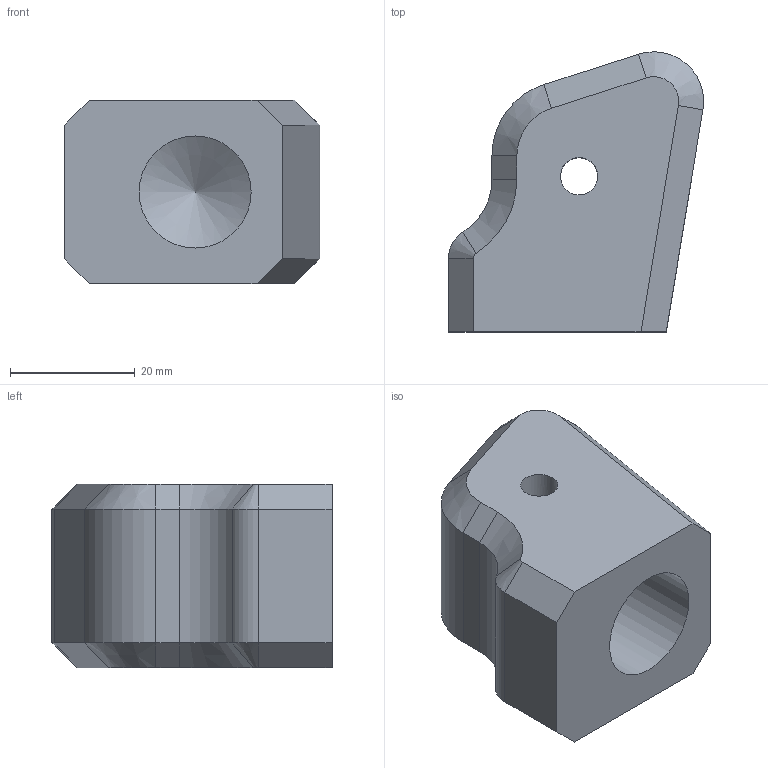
import cadquery as cq
import math

thickness = 29.5
chamfer_size = 4.0

foot_left_x = -21.0
foot_right_x = 14.0
shoulder_left_x = -14.0

foot_radius = 5.0
waist_radius = 10.0
shoulder_radius = 12.0
nose_radius = 8.0
waist_center = (shoulder_left_x - waist_radius, 24.5)
shoulder_center = (shoulder_left_x + shoulder_radius, 28.3)
nose_center = (12.0, 37.0)

bore_diameter = 18.0
bore_depth = 30.0
bore_tip_angle = 118.0
pin_hole_diameter = 6.0
pin_hole_y = 25.0


def point_on_circle(center, radius, angle):
    return (center[0] + radius * math.cos(angle), center[1] + radius * math.sin(angle))


def angle_between(start, end):
    return math.atan2(end[1] - start[1], end[0] - start[0])


def add_arc(profile, center, radius, start_angle, end_angle):
    middle = point_on_circle(center, radius, (start_angle + end_angle) / 2)
    end = point_on_circle(center, radius, end_angle)
    return profile.threePointArc(middle, end)


def make_body():
    foot_center_x = foot_left_x + foot_radius
    centers_dx = foot_center_x - waist_center[0]
    centers_dy = math.sqrt((foot_radius + waist_radius) ** 2 - centers_dx**2)
    foot_center = (foot_center_x, waist_center[1] - centers_dy)
    waist_end_angle = angle_between(waist_center, foot_center)
    foot_end_angle = waist_end_angle + math.pi

    centers_distance = math.dist(shoulder_center, nose_center)
    back_slope = angle_between(shoulder_center, nose_center) - math.asin(
        (shoulder_radius - nose_radius) / centers_distance
    )
    back_normal = back_slope + math.pi / 2

    front_right = (foot_right_x, 0)
    side_slope = angle_between(front_right, nose_center) - math.asin(
        nose_radius / math.dist(front_right, nose_center)
    )
    side_normal = side_slope - math.pi / 2

    profile = cq.Workplane("XY").workplane(offset=-thickness / 2)
    profile = profile.moveTo(foot_left_x, 0).lineTo(foot_left_x, foot_center[1])
    profile = add_arc(profile, foot_center, foot_radius, math.pi, foot_end_angle)
    profile = add_arc(profile, waist_center, waist_radius, waist_end_angle, 0)
    profile = profile.lineTo(shoulder_left_x, shoulder_center[1])
    profile = add_arc(profile, shoulder_center, shoulder_radius, math.pi, back_normal)
    profile = profile.lineTo(*point_on_circle(nose_center, nose_radius, back_normal))
    profile = add_arc(profile, nose_center, nose_radius, back_normal, side_normal)
    profile = profile.lineTo(*front_right).close()
    return profile.extrude(thickness)


def chamfer_rims(body):
    rims = body.faces("|Z").edges("not <Y")
    return rims.chamfer(chamfer_size)


def make_bore():
    radius = bore_diameter / 2
    tip_length = radius / math.tan(math.radians(bore_tip_angle / 2))
    return (
        cq.Workplane("XY")
        .lineTo(radius, 0)
        .lineTo(radius, bore_depth)
        .lineTo(0, bore_depth + tip_length)
        .close()
        .revolve(360, (0, 0), (0, 1))
    )


def make_pin_hole():
    return (
        cq.Workplane("XY")
        .center(0, pin_hole_y)
        .circle(pin_hole_diameter / 2)
        .extrude(thickness / 2, both=True)
    )


result = chamfer_rims(make_body()).cut(make_bore()).cut(make_pin_hole())